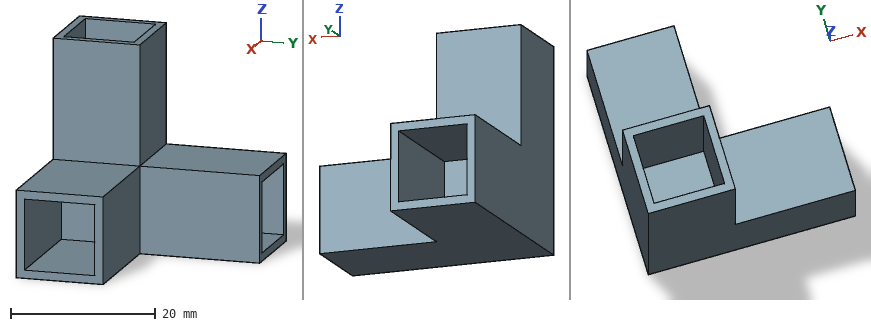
import cadquery as cq

overall_length = 30.0
tube_width = 12.6
wall = 1.2
bore_width = tube_width - 2 * wall
socket_depth = overall_length - tube_width
half_width = tube_width / 2


def bar_along_z(width, start, length):
    """Square bar on the upright arm's axis, starting at height start."""
    return (
        cq.Workplane("XY")
        .box(width, width, length, centered=(True, True, False))
        .translate((half_width, half_width, start))
    )


def on_three_axes(upright):
    """Join an upright shape with its copies turned onto the X and Y arms."""
    corner = (0, 0, 0)
    diagonal = (1, 1, 1)
    along_x = upright.rotate(corner, diagonal, 120)
    along_y = upright.rotate(corner, diagonal, 240)
    return upright.union(along_x).union(along_y)


arms = on_three_axes(bar_along_z(tube_width, 0, overall_length))

sockets = on_three_axes(bar_along_z(bore_width, tube_width, socket_depth))

result = arms.cut(sockets)